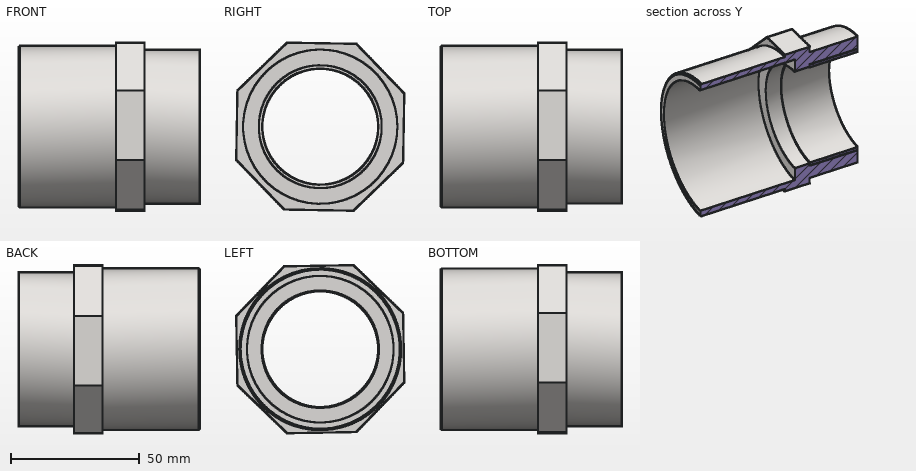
import cadquery as cq
import math

total_length = 70.4
flange_start = 37.8
flange_width = 11.2
flange_end = flange_start + flange_width

socket_diameter = 63.0
spigot_diameter = 60.0
rim_chamfer = 0.55
flange_sides = 8
flange_across_flats = 65.0
flange_turn = -1.0

socket_bore = 57.0
socket_depth = 42.25
shoulder_bore = 45.7
liner_outer_diameter = 47.8
liner_bore = 45.0
liner_length = total_length - flange_end


def cylinder(diameter, start, end):
    """Round bar on the X axis between two positions."""
    return cq.Workplane("YZ", origin=(start, 0, 0)).circle(diameter / 2).extrude(end - start)


def make_flange():
    """Octagonal wrench flange, turned slightly from the upright position."""
    half_side_angle = 180 / flange_sides
    corner_diameter = flange_across_flats / math.cos(math.radians(half_side_angle))
    return (
        cq.Workplane("YZ", origin=(flange_start, 0, 0))
        .polygon(flange_sides, corner_diameter)
        .extrude(flange_width)
        .rotate((0, 0, 0), (1, 0, 0), half_side_angle + flange_turn)
    )


def make_housing():
    """Socket, flange and spigot with a stepped bore and a seat for the liner."""
    socket = cylinder(socket_diameter, 0, flange_end).faces("<X").chamfer(rim_chamfer)
    spigot = cylinder(spigot_diameter, flange_start, total_length)
    body = socket.union(spigot).union(make_flange())
    return (
        body.cut(cylinder(socket_bore, 0, socket_depth))
        .cut(cylinder(shoulder_bore, 0, total_length))
        .cut(cylinder(liner_outer_diameter, total_length - liner_length, total_length))
    )


def make_liner():
    """Plain sleeve seated against the shoulder, flush with the spigot end."""
    start = total_length - liner_length
    sleeve = cylinder(liner_outer_diameter, start, total_length)
    return sleeve.cut(cylinder(liner_bore, start, total_length))


housing = make_housing()
liner = make_liner()
result = cq.Compound.makeCompound([housing.solids().val(), liner.val()])